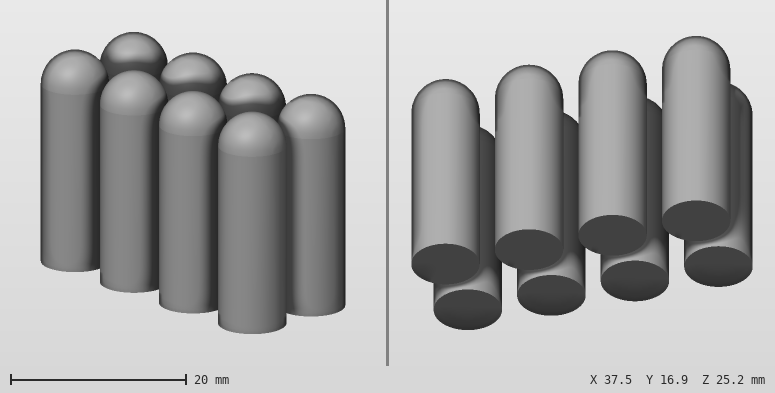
import cadquery as cq
import math

pin_diameter = 7.8
pin_height = 25.23

columns = 4
rows = 2
column_pitch = 9.9
row_pitch = 9.12

pin_radius = pin_diameter / 2
shoulder_height = pin_height - pin_radius


def make_pin(x, y):
    """Round-ended pin standing on Z = 0: a half profile turned about its own vertical axis."""
    dome_mid = pin_radius / math.sqrt(2)
    profile = (
        cq.Workplane("XZ")
        .lineTo(pin_radius, 0)
        .lineTo(pin_radius, shoulder_height)
        .threePointArc((dome_mid, shoulder_height + dome_mid), (0, pin_height))
        .close()
    )
    pin = profile.revolve(360, (0, 0, 0), (0, 1, 0))
    return pin.translate((x, y, 0))


pins = []
for column in range(columns):
    for row in range(rows):
        pin_x = (column - (columns - 1) / 2) * column_pitch
        pin_y = (row - (rows - 1) / 2) * row_pitch
        pins.append(make_pin(pin_x, pin_y))

result = cq.Compound.makeCompound([pin.val() for pin in pins])